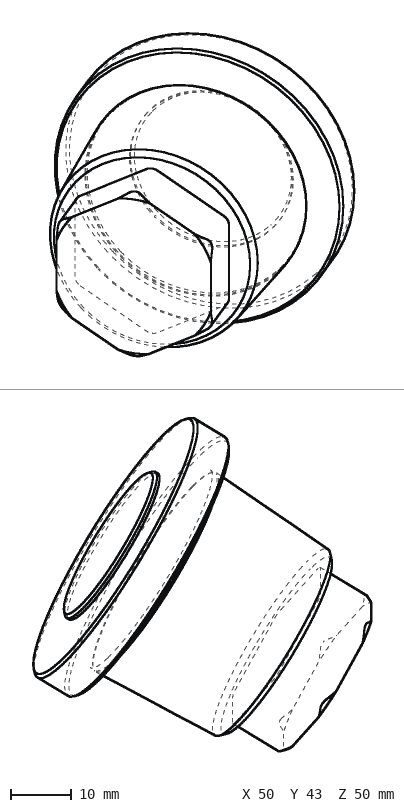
import cadquery as cq
import math

flange_radius = 25.0
flange_thickness = 7.0
flange_chamfer = 0.5

boss_radius = 14.1
boss_height = 1.0
boss_chamfer = 0.5

body_length = 25.0
body_top_radius = 19.2
body_end_radius = 18.0
body_chamfer = 1.0
collar_end = 2.0
taper_break = 17.0
taper_break_radius = 18.4

neck_radius = 19.05
relief_outer_radius = 20.4
relief_depth = 0.1
relief_fillet = 0.6
relief_ramp_start = 1.15
relief_ramp_end = 1.3

hex_across_flats = 26.75
hex_length = 10.0
hex_edge_fillet = 2.0
hex_end_chamfer = 1.0


def make_turned_body():
    """Revolve the flange, rear boss, relief groove and tapered body about Y."""
    boss_end = flange_thickness + boss_height
    fillet_center_radius = neck_radius + relief_fillet
    fillet_center_y = relief_depth - relief_fillet
    fillet_reach = relief_fillet * math.sqrt(0.5)
    profile = (
        cq.Workplane("XY")
        .moveTo(0, boss_end)
        .lineTo(boss_radius - boss_chamfer, boss_end)
        .lineTo(boss_radius, boss_end - boss_chamfer)
        .lineTo(boss_radius, flange_thickness)
        .lineTo(flange_radius - flange_chamfer, flange_thickness)
        .lineTo(flange_radius, flange_thickness - flange_chamfer)
        .lineTo(flange_radius, flange_chamfer)
        .lineTo(flange_radius - flange_chamfer, 0)
        .lineTo(relief_outer_radius, 0)
        .lineTo(fillet_center_radius, relief_depth)
        .threePointArc(
            (fillet_center_radius - fillet_reach, fillet_center_y + fillet_reach),
            (neck_radius, fillet_center_y),
        )
        .lineTo(neck_radius, -relief_ramp_start)
        .lineTo(body_top_radius, -relief_ramp_end)
        .lineTo(body_top_radius, -collar_end)
        .lineTo(taper_break_radius, -taper_break)
        .lineTo(body_end_radius, body_chamfer - body_length)
        .lineTo(body_end_radius - body_chamfer, -body_length)
        .lineTo(0, -body_length)
        .close()
    )
    return profile.revolve(360, (0, 0, 0), (0, 1, 0))


def make_hex_head():
    """Hexagonal head with rounded edges and a conical chamfer on its end."""
    corner_radius = hex_across_flats / math.sqrt(3)
    rounded_radius = corner_radius - hex_edge_fillet * (2 / math.sqrt(3) - 1)
    head = (
        cq.Workplane("XZ", origin=(0, -body_length, 0))
        .transformed(rotate=(0, 0, 90))
        .polygon(6, 2 * corner_radius)
        .extrude(hex_length)
        .edges("|Y")
        .fillet(hex_edge_fillet)
    )
    chamfer_envelope = (
        cq.Workplane("XZ", origin=(0, -body_length, 0))
        .circle(rounded_radius)
        .extrude(hex_length)
        .faces("<Y")
        .chamfer(hex_end_chamfer)
    )
    return head.intersect(chamfer_envelope)


result = make_turned_body().union(make_hex_head())